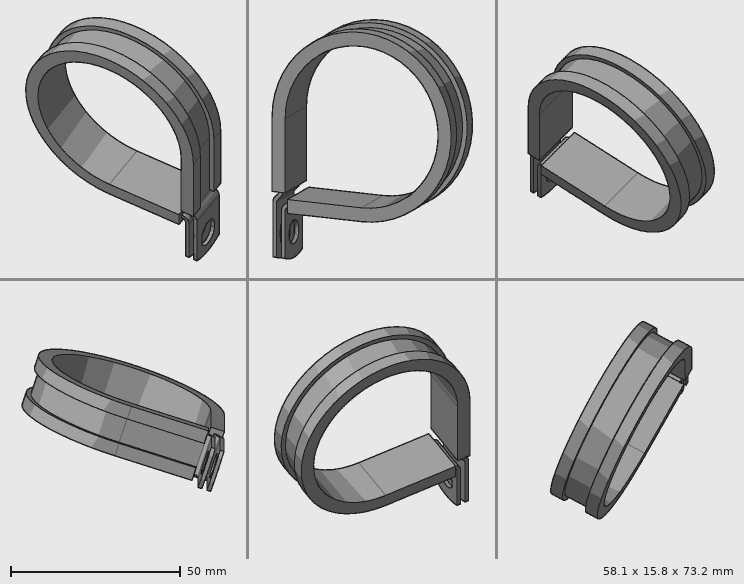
import cadquery as cq
import math


cushion_outer_radius = 28.875
cushion_thickness = 4.25
cushion_width = 15.75
cushion_inner_radius = cushion_outer_radius - cushion_thickness
upright_leg_length = 22.7
bottom_leg_length = 23.93

groove_depth = 1.5
groove_width = 7.75

band_thickness = 1.22
band_width = 12.7
band_outer_radius = cushion_outer_radius - groove_depth
band_mid_radius = band_outer_radius - band_thickness / 2

tab_bottom_z = -44.365
outer_tab_face_x = 29.235
tab_pitch = 2.75
outer_tab_x = outer_tab_face_x - band_thickness / 2
inner_tab_x = outer_tab_x - tab_pitch
tab_end_rise = 1.3
hole_diameter = 7.15
slot_length = 9.0
hole_height = 7.85
hole_z = tab_bottom_z + hole_height

corner_bend_radius = 1.87
jog_bend_radius = 1.5
jog_angle = math.radians(45)
jog_lead = 0.35


def arc_middle(radius):
    """Middle point (x, z) of the three-quarter loop arc of the given radius."""
    return (-radius * math.sqrt(0.5), radius * math.sqrt(0.5))


def loop_strip(inner_radius, outer_radius, width):
    """Three-quarter ring with a tangent leg at each end, centred on the XZ plane."""
    return (
        cq.Workplane("XZ")
        .moveTo(outer_radius, -upright_leg_length)
        .lineTo(outer_radius, 0)
        .threePointArc(arc_middle(outer_radius), (0, -outer_radius))
        .lineTo(bottom_leg_length, -outer_radius)
        .lineTo(bottom_leg_length, -inner_radius)
        .lineTo(0, -inner_radius)
        .threePointArc(arc_middle(inner_radius), (inner_radius, 0))
        .lineTo(inner_radius, -upright_leg_length)
        .close()
        .extrude(width / 2, both=True)
    )


def make_cushion():
    """Rubber loop with the outside groove cut down to the band."""
    groove = loop_strip(band_outer_radius, cushion_outer_radius, groove_width)
    return loop_strip(cushion_inner_radius, cushion_outer_radius, cushion_width).cut(groove)


def make_band():
    """Flat strip swept from the outer tab, around the loop, to the inner tab."""
    bend_shift = jog_bend_radius * (1 - math.cos(jog_angle))
    bend_drop = jog_bend_radius * math.sin(jog_angle)
    slope_shift = outer_tab_x - band_mid_radius - 2 * bend_shift
    slope_drop = slope_shift / math.tan(jog_angle)

    jog_top_z = -upright_leg_length - jog_lead
    slope_top = (band_mid_radius + bend_shift, jog_top_z - bend_drop)
    slope_bottom = (slope_top[0] + slope_shift, slope_top[1] - slope_drop)
    jog_bottom = (outer_tab_x, slope_bottom[1] - bend_drop)

    path = (
        cq.Workplane("XZ")
        .moveTo(outer_tab_x, tab_bottom_z)
        .lineTo(*jog_bottom)
        .tangentArcPoint(slope_bottom, relative=False)
        .lineTo(*slope_top)
        .tangentArcPoint((band_mid_radius, jog_top_z), relative=False)
        .lineTo(band_mid_radius, 0)
        .threePointArc(arc_middle(band_mid_radius), (0, -band_mid_radius))
        .lineTo(inner_tab_x - corner_bend_radius, -band_mid_radius)
        .tangentArcPoint((inner_tab_x, -band_mid_radius - corner_bend_radius), relative=False)
        .lineTo(inner_tab_x, tab_bottom_z)
    )
    return (
        cq.Workplane("XY", origin=(outer_tab_x, 0, tab_bottom_z))
        .rect(band_thickness, band_width)
        .sweep(path)
    )


def make_tab_end_trim():
    """Block below both tabs whose top is hollowed to leave rounded tab ends."""
    half_width = band_width / 2
    corner_z = tab_bottom_z + tab_end_rise
    block_bottom_z = tab_bottom_z - tab_end_rise
    block_length = outer_tab_face_x + band_thickness
    return (
        cq.Workplane("YZ")
        .moveTo(-half_width, corner_z)
        .threePointArc((0, tab_bottom_z), (half_width, corner_z))
        .lineTo(half_width, block_bottom_z)
        .lineTo(-half_width, block_bottom_z)
        .close()
        .extrude(block_length)
    )


def tab_hole_plane(tab_x):
    """Workplane in the middle of a tab, centred on its hole."""
    return cq.Workplane("YZ", origin=(tab_x, 0, hole_z))


def make_round_hole():
    """Cutter for the hole through the inner tab only."""
    return (
        tab_hole_plane(inner_tab_x)
        .circle(hole_diameter / 2)
        .extrude(band_thickness, both=True)
    )


def make_slot():
    """Cutter for the upright slot through the outer tab only."""
    return (
        tab_hole_plane(outer_tab_x)
        .slot2D(slot_length, hole_diameter, 90)
        .extrude(band_thickness, both=True)
    )


band = make_band().cut(make_tab_end_trim())
band = band.cut(make_round_hole()).cut(make_slot())
result = make_cushion().union(band)